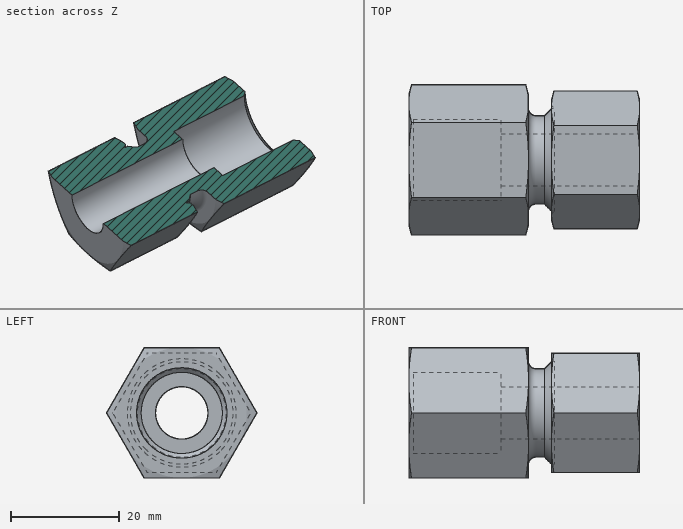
import cadquery as cq
import math

HEX_SIDES = 6

overall_length = 42.5
body_length = 22.03
body_across_flats = 24.0
nut_length = 16.25
nut_across_flats = 22.0
hex_chamfer_angle = 15.0

neck_diameter = 16.32
neck_fillet_radius = 1.35
cone_start = 24.97
stub_diameter = 18.87
countersink_diameter = 20.0

through_bore_diameter = 9.6
socket_diameter = 14.95
socket_mouth_diameter = 16.66
socket_depth = 17.0

nut_start = overall_length - nut_length
neck_radius = neck_diameter / 2
stub_radius = stub_diameter / 2
cone_end = cone_start + stub_radius - neck_radius
countersink_depth = (countersink_diameter - stub_diameter) / 2
socket_chamfer = (socket_mouth_diameter - socket_diameter) / 2


def revolve_about_x(profile):
    """Revolve a closed (axial, radial) profile about the X axis."""
    return profile.close().revolve(360, (0, 0, 0), (1, 0, 0))


def chamfered_hexagon(start, length, across_flats):
    """Hexagonal bar with corners along Y and both ends turned conically."""
    across_corners = across_flats / math.cos(math.pi / HEX_SIDES)
    flat_radius = across_flats / 2
    corner_radius = across_corners / 2
    corner_setback = (corner_radius - flat_radius) * math.tan(math.radians(hex_chamfer_angle))
    end = start + length

    prism = cq.Workplane("YZ", origin=(start, 0, 0)).polygon(HEX_SIDES, across_corners).extrude(length)
    envelope = revolve_about_x(
        cq.Workplane("XY")
        .moveTo(start, 0)
        .lineTo(start, flat_radius)
        .lineTo(start + corner_setback, corner_radius)
        .lineTo(end - corner_setback, corner_radius)
        .lineTo(end, flat_radius)
        .lineTo(end, 0)
    )
    return prism.intersect(envelope)


def neck():
    """Round neck, filleted into the body and flared to the stub inside the nut."""
    stub_end = nut_start + countersink_depth
    fillet_end = body_length + neck_fillet_radius
    return revolve_about_x(
        cq.Workplane("XY")
        .moveTo(body_length, 0)
        .lineTo(body_length, neck_radius + neck_fillet_radius)
        .radiusArc((fillet_end, neck_radius), -neck_fillet_radius)
        .lineTo(cone_start, neck_radius)
        .lineTo(cone_end, stub_radius)
        .lineTo(stub_end, stub_radius)
        .lineTo(stub_end, 0)
    )


def nut_countersink():
    """Conical recess in the nut's inner end face, around the stub."""
    return revolve_about_x(
        cq.Workplane("XY")
        .moveTo(nut_start, 0)
        .lineTo(nut_start, countersink_diameter / 2)
        .lineTo(nut_start + countersink_depth, stub_radius)
        .lineTo(nut_start + countersink_depth, 0)
    )


def bore():
    """Through bore with a wider socket and a 45 degree mouth at the body end."""
    socket_radius = socket_diameter / 2
    bore_radius = through_bore_diameter / 2
    return revolve_about_x(
        cq.Workplane("XY")
        .lineTo(0, socket_mouth_diameter / 2)
        .lineTo(socket_chamfer, socket_radius)
        .lineTo(socket_depth, socket_radius)
        .lineTo(socket_depth, bore_radius)
        .lineTo(overall_length, bore_radius)
        .lineTo(overall_length, 0)
    )


body = chamfered_hexagon(0, body_length, body_across_flats)
nut = chamfered_hexagon(nut_start, nut_length, nut_across_flats)
nut = nut.cut(nut_countersink())
result = body.union(neck()).union(nut).cut(bore())